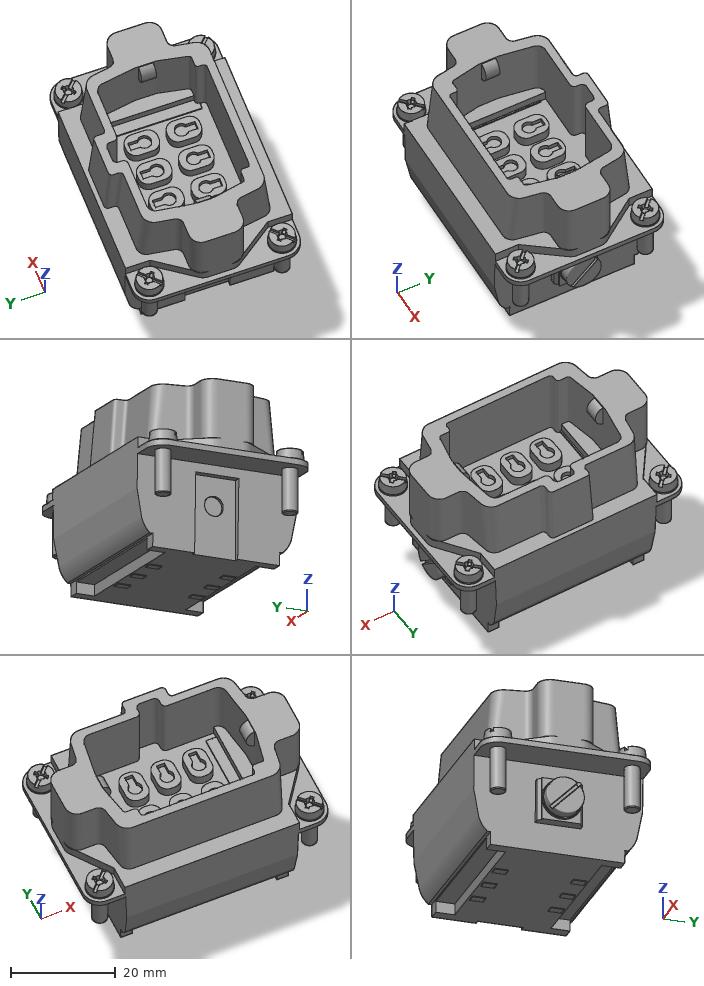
import cadquery as cq
import math

PLATE_BOTTOM = 17.95
PLATE_TOP = 19.1
SLAB_TOP = 21.25
SHROUD_TOP = 33.1
FLOOR_Z = 18.5

LENGTH = 51.0
WIDTH = 34.0
PLATE_CORNER_R = 3.5
SCREW_X = 22.0
SCREW_Y = 13.5
SCREW_COLLAR_D = 5.6
SCREW_COLLAR_TOP = 19.5
SCREW_HEAD_D = 5.5
SCREW_HEAD_CROWN_D = 5.1
SCREW_HEAD_TOP = 21.45
SCREW_SHANK_D = 3.1
SCREW_TIP_Z = 9.2
SCREW_TIP_CHAMFER = 0.2
DRIVE_SLOT_WIDTH = 0.7
DRIVE_SLOT_ANGLE = 45
DRIVE_SLOT_DEPTH = 0.7
CROSS_LENGTH = 2.85
CROSS_DEPTH = 0.8
CROSS_CENTRE_D = 2.0
CROSS_CENTRE_FLOOR_D = 1.3
CROSS_CENTRE_DEPTH = 1.0

BODY_TOP_HALF_X = 18.15
BODY_BOTTOM_HALF_X = 17.55
BEND_Z = 11.05
LEAN_HALF_Y = 15.95
LEAN_Z = 5.5
ROUND_MID = (15.4, 4.15)
ROUND_HALF_Y = 14.2
FOOT_HALF_Y = 13.5
FOOT_HEIGHT = 2.65
FOOT_LENGTH = 2.4
FOOT_GAP_HEIGHT = 2.3
BASE_HALF_Y = 9.7

END_RECESS_X = 16.6
END_RECESS_WIDTH = 9.2
END_RECESS_HEIGHT = 16.05
SIDE_SCREW_Z = 10.25
SIDE_HOLE_D = 4.0
SIDE_HOLE_DEPTH = 0.6

SLAB_HALF_X = 18.3
SLAB_SHOULDER_Y = 12.0
SLAB_NOSE_Y = 3.4
SLAB_NOSE_R = 2.85

NOSE_HALF_X = 24.5
NOSE_HALF_Y = 5.5
NOSE_R = 2.55
NECK_HALF_X = 17.95
NECK_R = 1.55
KEY_R = 0.75

CAVITY_HALF_X = 15.9
CAVITY_FLAT_Y = 2.2
CAVITY_HALF_Y = 10.75
CAVITY_CORNER_X = 14.65
CAVITY_CORNER_R = 1.8
CAVITY_LOWER_Y = 8.65
CAVITY_LOWER_R = 0.6
CAVITY_STEP_X = 12.0
CAVITY_STEP_R = 0.65
CAVITY_KEY_HALF_X = 2.3
CAVITY_KEY_Y = 13.35
CAVITY_KEY_R = 0.95

LEDGE_X = 12.95
LEDGE_Z = 20.5
STRIP_Z = 18.8
STRIP_HALF_Y = 9.55
STRIP_LEFT_X = 12.65
STRIP_RIGHT_X = 10.75

CATCH_DEPTH = 1.75
CATCH_WIDTH = 3.0
CATCH_TOP = 32.85
CATCH_BOTTOM = 28.25

CONTACT_PITCH = 6.7
CONTACT_ROW_Y = 4.3
ISLAND_SIZE = (4.75, 6.75)
ISLAND_CORNER_R = 2.05
ISLAND_Z = 20.65
KEYHOLE_D = 2.75
KEYHOLE_Y = 3.75
KEYHOLE_SLOT_WIDTH = 1.65
KEYHOLE_SLOT_END = 6.85
KEYHOLE_DEPTH = 0.9
PAD_SIZE = (1.75, 2.7)
PAD_Y = 7.9
PAD_HEIGHT = 0.2

TERMINAL_WIDTH = 9.2
TERMINAL_BOTTOM = 5.8
TERMINAL_TOP = 14.45
TERMINAL_BASE_X = 18.8
TERMINAL_BEVEL_X = 19.5
TERMINAL_FACE_X = 19.9
WASHER_D = 8.0
WASHER_X = 20.4
EARTH_HEAD_D = 7.55
EARTH_HEAD_X = 22.5
EARTH_SLOT_DEPTH = 0.9
EARTH_HEAD_EDGE = 0.2

OVERLAP = 0.25


def box(x_range, y_range, z_range):
    """Box between the given limits along each axis."""
    (x0, x1), (y0, y1), (z0, z1) = x_range, y_range, z_range
    return cq.Workplane("XY").box(x1 - x0, y1 - y0, z1 - z0, centered=False).translate((x0, y0, z0))


def cone(bottom_d, top_d, z_bottom, z_top):
    """Truncated cone on the Z axis."""
    base = cq.Vector(0, 0, z_bottom)
    return cq.Workplane(cq.Solid.makeCone(bottom_d / 2, top_d / 2, z_top - z_bottom, base))


def rounded_outline(corners, z):
    """Closed outline at height z through (x, y, radius) corners, each rounded by a tangent arc."""
    arcs = []
    for i, (x, y, radius) in enumerate(corners):
        corner = cq.Vector(x, y, 0)
        before = (cq.Vector(*corners[i - 1][:2], 0) - corner).normalized()
        after = (cq.Vector(*corners[(i + 1) % len(corners)][:2], 0) - corner).normalized()
        half_angle = before.getAngle(after) / 2
        reach = radius / math.tan(half_angle)
        arc_distance = radius / math.sin(half_angle) - radius
        middle = corner + (before + after).normalized() * arc_distance
        arcs.append([(p.x, p.y) for p in (corner + before * reach, middle, corner + after * reach)])
    outline = cq.Workplane("XY", origin=(0, 0, z)).moveTo(*arcs[0][2])
    for start, middle, end in arcs[1:] + arcs[:1]:
        outline = outline.lineTo(*start).threePointArc(middle, end)
    return outline.close()


def mirrored_in_x(right_half):
    """Complete a corner list running down the +X side with its -X mirror image."""
    return right_half + [(-x, y, radius) for x, y, radius in reversed(right_half)]


def make_body():
    """Housing below the plate: constant Y-Z section with tapered X ends."""
    half_y = WIDTH / 2
    right = [(FOOT_HALF_Y, 0), (FOOT_HALF_Y, FOOT_HEIGHT), (ROUND_HALF_Y, FOOT_HEIGHT)]
    section = (
        cq.Workplane("YZ")
        .polyline([(-y, z) for y, z in reversed(right)] + right)
        .threePointArc(ROUND_MID, (LEAN_HALF_Y, LEAN_Z))
        .lineTo(half_y, BEND_Z)
        .lineTo(half_y, PLATE_TOP)
        .lineTo(-half_y, PLATE_TOP)
        .lineTo(-half_y, BEND_Z)
        .lineTo(-LEAN_HALF_Y, LEAN_Z)
        .threePointArc((-ROUND_MID[0], ROUND_MID[1]), (-ROUND_HALF_Y, FOOT_HEIGHT))
        .close()
        .extrude(LENGTH / 2, both=True)
    )
    taper = (
        cq.Workplane("XZ")
        .polyline([
            (-BODY_BOTTOM_HALF_X, 0),
            (BODY_BOTTOM_HALF_X, 0),
            (BODY_TOP_HALF_X, PLATE_TOP),
            (-BODY_TOP_HALF_X, PLATE_TOP),
        ])
        .close()
        .extrude(WIDTH, both=True)
    )
    body = section.intersect(taper)
    gap_half_x = BODY_BOTTOM_HALF_X - FOOT_LENGTH
    for y_range in ((BASE_HALF_Y, FOOT_HALF_Y), (-FOOT_HALF_Y, -BASE_HALF_Y)):
        body = body.cut(box((-gap_half_x, gap_half_x), y_range, (0, FOOT_GAP_HEIGHT)))
    half_recess = END_RECESS_WIDTH / 2
    body = body.cut(box((-LENGTH / 2, -END_RECESS_X), (-half_recess, half_recess), (0, END_RECESS_HEIGHT)))
    side_hole = (
        cq.Workplane("YZ", origin=(-END_RECESS_X, 0, SIDE_SCREW_Z))
        .circle(SIDE_HOLE_D / 2)
        .extrude(SIDE_HOLE_DEPTH)
    )
    return body.cut(side_hole)


def make_plate():
    """Rounded flange plate that carries the mounting screws."""
    return (
        cq.Workplane("XY", origin=(0, 0, PLATE_BOTTOM))
        .rect(LENGTH, WIDTH)
        .extrude(PLATE_TOP - PLATE_BOTTOM)
        .edges("|Z")
        .fillet(PLATE_CORNER_R)
    )


def make_slab():
    """Raised slab under the shroud, cut back at the corners to clear the screw heads."""
    half_y = WIDTH / 2
    upper = [(SLAB_HALF_X, half_y), (SLAB_HALF_X, SLAB_SHOULDER_Y), (NOSE_HALF_X, SLAB_NOSE_Y)]
    right = upper + [(x, -y) for x, y in reversed(upper)]
    return (
        cq.Workplane("XY", origin=(0, 0, PLATE_BOTTOM))
        .polyline(right + [(-x, y) for x, y in reversed(right)])
        .close()
        .extrude(SLAB_TOP - PLATE_BOTTOM)
        .edges("|Z")
        .edges(">X or <X")
        .fillet(SLAB_NOSE_R)
    )


def shroud_corners(key_half_x, key_y, main_x, main_y, main_r):
    """Outer shroud outline: keyed +Y side, rounded noses at both X ends."""
    return mirrored_in_x([
        (key_half_x, key_y, KEY_R),
        (key_half_x, main_y, KEY_R),
        (main_x, main_y, main_r),
        (NECK_HALF_X, NOSE_HALF_Y, NECK_R),
        (NOSE_HALF_X, NOSE_HALF_Y, NOSE_R),
        (NOSE_HALF_X, -NOSE_HALF_Y, NOSE_R),
        (NECK_HALF_X, -NOSE_HALF_Y, NECK_R),
        (main_x, -main_y, main_r),
    ])


def make_shroud():
    """Drafted shroud wall, lofted from the slab up to the rim; the cavity is cut later."""
    base = shroud_corners(key_half_x=4.85, key_y=16.05, main_x=16.7, main_y=13.55, main_r=2.05)
    rim = shroud_corners(key_half_x=4.55, key_y=15.1, main_x=16.85, main_y=12.5, main_r=2.65)
    base_wire = rounded_outline(base, SLAB_TOP).wire().val()
    rim_wire = rounded_outline(rim, SHROUD_TOP).wire().val()
    return cq.Workplane(cq.Solid.makeLoft([base_wire, rim_wire], True))


def make_cavity():
    """Space inside the shroud, with the end ledges and low strips left standing on its floor."""
    corners = mirrored_in_x([
        (CAVITY_KEY_HALF_X, CAVITY_KEY_Y, CAVITY_KEY_R),
        (CAVITY_KEY_HALF_X, CAVITY_HALF_Y, CAVITY_KEY_R),
        (CAVITY_CORNER_X, CAVITY_HALF_Y, CAVITY_CORNER_R),
        (CAVITY_HALF_X, CAVITY_FLAT_Y, CAVITY_LOWER_R),
        (CAVITY_HALF_X, -CAVITY_FLAT_Y, CAVITY_LOWER_R),
        (CAVITY_CORNER_X, -CAVITY_LOWER_Y, CAVITY_LOWER_R),
        (CAVITY_STEP_X, -CAVITY_LOWER_Y, CAVITY_STEP_R),
        (CAVITY_STEP_X, -CAVITY_HALF_Y, CAVITY_STEP_R),
    ])
    cavity = rounded_outline(corners, FLOOR_Z).extrude(SHROUD_TOP - FLOOR_Z)
    across = (-WIDTH / 2, WIDTH / 2)
    for x_range in ((LEDGE_X, LENGTH), (-LENGTH, -LEDGE_X)):
        cavity = cavity.cut(box(x_range, across, (0, LEDGE_Z)))
    for x_range in ((STRIP_RIGHT_X, LEDGE_X), (-LEDGE_X, -STRIP_LEFT_X)):
        cavity = cavity.cut(box(x_range, (-STRIP_HALF_Y, STRIP_HALF_Y), (0, STRIP_Z)))
    return cavity


def make_catch(side):
    """Rounded latch bump high on the cavity end wall; side is +1 or -1 along X."""
    wall = side * CAVITY_HALF_X
    buried = wall + side * OVERLAP
    return (
        cq.Workplane("XZ")
        .moveTo(wall, CATCH_BOTTOM)
        .threePointArc((wall - side * CATCH_DEPTH, (CATCH_BOTTOM + CATCH_TOP) / 2), (wall, CATCH_TOP))
        .lineTo(buried, CATCH_TOP)
        .lineTo(buried, CATCH_BOTTOM)
        .close()
        .extrude(CATCH_WIDTH / 2, both=True)
    )


def make_contact():
    """Raised contact island of the +Y row with its keyhole pocket, centred on X = 0."""
    island = (
        cq.Workplane("XY", origin=(0, CONTACT_ROW_Y, FLOOR_Z - OVERLAP))
        .rect(*ISLAND_SIZE)
        .extrude(ISLAND_Z - FLOOR_Z + OVERLAP)
        .edges("|Z")
        .fillet(ISLAND_CORNER_R)
    )
    pocket_z = ISLAND_Z - KEYHOLE_DEPTH
    round_part = (
        cq.Workplane("XY", origin=(0, KEYHOLE_Y, pocket_z))
        .circle(KEYHOLE_D / 2)
        .extrude(KEYHOLE_DEPTH)
    )
    half_slot = KEYHOLE_SLOT_WIDTH / 2
    slot = box((-half_slot, half_slot), (KEYHOLE_Y, KEYHOLE_SLOT_END), (pocket_z, ISLAND_Z))
    return island.cut(round_part).cut(slot)


def make_pad():
    """Thin pad on the underside below a +Y row contact, centred on X = 0."""
    return (
        cq.Workplane("XY", origin=(0, PAD_Y, -PAD_HEIGHT))
        .rect(*PAD_SIZE)
        .extrude(PAD_HEIGHT + OVERLAP)
    )


def make_screw():
    """Mounting screw on the Z axis: slotted and cross-recessed head with a plain shank."""
    shank = (
        cq.Workplane("XY", origin=(0, 0, SCREW_TIP_Z))
        .circle(SCREW_SHANK_D / 2)
        .extrude(PLATE_TOP - SCREW_TIP_Z)
        .faces("<Z")
        .chamfer(SCREW_TIP_CHAMFER)
    )
    collar = (
        cq.Workplane("XY", origin=(0, 0, PLATE_TOP))
        .circle(SCREW_COLLAR_D / 2)
        .extrude(SCREW_COLLAR_TOP - PLATE_TOP)
    )
    head = cone(SCREW_HEAD_D, SCREW_HEAD_CROWN_D, SCREW_COLLAR_TOP, SCREW_HEAD_TOP)
    drive = cq.Workplane("XY", origin=(0, 0, SCREW_HEAD_TOP))
    slot = drive.rect(2 * SCREW_HEAD_D, DRIVE_SLOT_WIDTH).extrude(-DRIVE_SLOT_DEPTH)
    cross = drive.rect(DRIVE_SLOT_WIDTH, CROSS_LENGTH).extrude(-CROSS_DEPTH)
    centre = cone(
        CROSS_CENTRE_FLOOR_D, CROSS_CENTRE_D, SCREW_HEAD_TOP - CROSS_CENTRE_DEPTH, SCREW_HEAD_TOP
    )
    head = head.cut(slot).cut(cross).cut(centre)
    return shank.union(collar).union(head)


def make_earth_terminal():
    """Clamp block, washer and slotted screw head on the +X end of the housing."""
    half_width = TERMINAL_WIDTH / 2
    narrow_half = half_width - (TERMINAL_BEVEL_X - TERMINAL_BASE_X)
    block = (
        cq.Workplane("XY", origin=(0, 0, TERMINAL_BOTTOM))
        .polyline([
            (BODY_BOTTOM_HALF_X - OVERLAP, half_width),
            (TERMINAL_BASE_X, half_width),
            (TERMINAL_BEVEL_X, narrow_half),
            (TERMINAL_FACE_X, narrow_half),
            (TERMINAL_FACE_X, -narrow_half),
            (TERMINAL_BEVEL_X, -narrow_half),
            (TERMINAL_BASE_X, -half_width),
            (BODY_BOTTOM_HALF_X - OVERLAP, -half_width),
        ])
        .close()
        .extrude(TERMINAL_TOP - TERMINAL_BOTTOM)
    )
    washer = (
        cq.Workplane("YZ", origin=(TERMINAL_FACE_X, 0, SIDE_SCREW_Z))
        .circle(WASHER_D / 2)
        .extrude(WASHER_X - TERMINAL_FACE_X)
    )
    head = (
        cq.Workplane("YZ", origin=(WASHER_X, 0, SIDE_SCREW_Z))
        .circle(EARTH_HEAD_D / 2)
        .extrude(EARTH_HEAD_X - WASHER_X)
        .faces(">X")
        .edges()
        .fillet(EARTH_HEAD_EDGE)
    )
    slot = (
        cq.Workplane("YZ", origin=(EARTH_HEAD_X, 0, SIDE_SCREW_Z))
        .transformed(rotate=(0, 0, DRIVE_SLOT_ANGLE))
        .rect(2 * EARTH_HEAD_D, DRIVE_SLOT_WIDTH)
        .extrude(-EARTH_SLOT_DEPTH)
    )
    return block.union(washer).union(head.cut(slot))


result = make_body().union(make_plate()).union(make_slab()).union(make_shroud())
result = result.cut(make_cavity())
result = result.union(make_earth_terminal())

for side in (-1, 1):
    result = result.union(make_catch(side))

contact = make_contact().union(make_pad())
for column in (-1, 0, 1):
    upper_contact = contact.translate((column * CONTACT_PITCH, 0, 0))
    result = result.union(upper_contact).union(upper_contact.mirror("XZ"))

screw = make_screw()
for x, slot_angle in ((-SCREW_X, DRIVE_SLOT_ANGLE), (SCREW_X, -DRIVE_SLOT_ANGLE)):
    turned_screw = screw.rotate((0, 0, 0), (0, 0, 1), slot_angle)
    for y in (-SCREW_Y, SCREW_Y):
        result = result.union(turned_screw.translate((x, y, 0)))